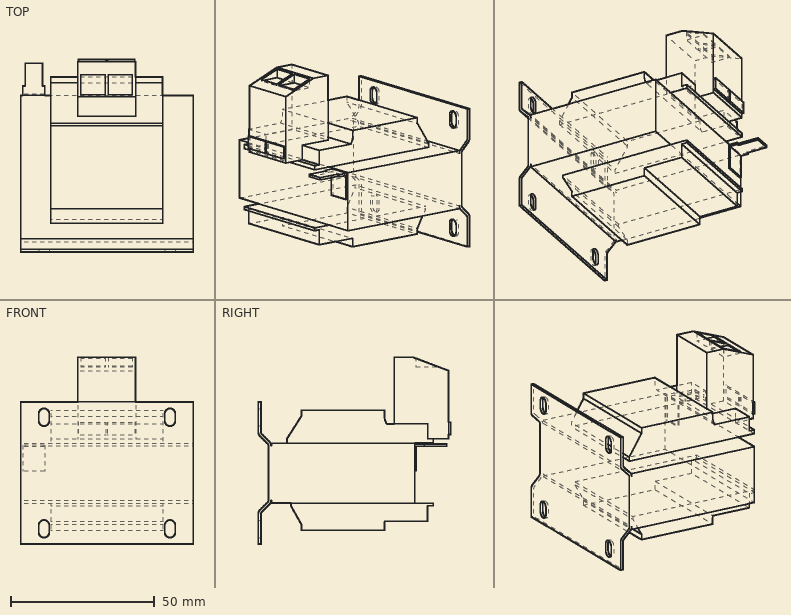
import cadquery as cq
import math


core_width = 60.1
core_depth = 49.95
core_height = 20.85
core_top = core_height / 2

plate_thickness = 1.0
plate_half_height = 24.75
web_front = 3.55
inner_bend_radius = 1.0
outer_bend_radius = inner_bend_radius + plate_thickness
web_bend_height = 9.45
bend_angle = math.radians(45)

slot_width = 3.6
slot_height = 6.05
slot_spacing_x = 43.85
slot_spacing_z = 38.8

core_front = web_front + plate_thickness
core_back = core_front + core_depth

coil_center_x = -0.15
coil_width = 39.0
coil_front = 15.0
coil_back = 44.0
ledge_back = 58.95
lip_back = 60.95
coil_rim = 2.0
cove_radius = 5.0

block_width = 20.1
block_front = 47.3
block_back = 66.25
block_bottom = 11.9
block_top = 40.3
slope_start = 54.0
slope_drop = 4.6

pocket_width = 8.45
pocket_spacing = 9.45
pocket_front = 54.8
pocket_back = 61.75
pocket_floor = 36.95

pad_width = 9.6
pad_spacing = 10.05
pad_back = 67.05
pad_bottom = 13.4
pad_top = 17.7

tab_center_x = -25.5
tab_shoulder_width = 7.8
tab_blade_width = 6.1
tab_shoulder_back = 57.85
tab_back = 65.7
tab_top = 10.1
tab_thickness = 0.8
tab_leg_thickness = 0.55
tab_leg_bottom = 0.75


def box(x_center, width, y_range, z_range):
    """Block centred on x_center that spans the given Y and Z ranges."""
    y_min, y_max = y_range
    z_min, z_max = z_range
    blank = cq.Workplane("XY").box(width, y_max - y_min, z_max - z_min, centered=(True, False, False))
    return blank.translate((x_center, y_min, z_min))


def extrude_across(profile, x_center, width):
    """Extrude a closed YZ profile symmetrically about x_center."""
    return profile.extrude(width / 2, both=True).translate((x_center, 0, 0))


def arc_point(center, radius, side, angle):
    """Point on a bend arc; angle is measured from the Y axis, side is +1 or -1 along both axes."""
    y, z = center
    return (y + side * radius * math.cos(angle), z + side * radius * math.sin(angle))


def mounting_plate():
    web_center = (web_front - inner_bend_radius, web_bend_height)
    center_offset_y = outer_bend_radius - web_center[0]
    bend_radii = outer_bend_radius + inner_bend_radius
    center_offset_z = (bend_radii - center_offset_y * math.cos(bend_angle)) / math.sin(bend_angle)
    flange_center = (outer_bend_radius, web_bend_height + center_offset_z)
    half_angle = bend_angle / 2

    def web_arc(radius, angle):
        return arc_point(web_center, radius, 1, angle)

    def flange_arc(radius, angle):
        return arc_point(flange_center, radius, -1, angle)

    upper_half = (
        cq.Workplane("YZ")
        .moveTo(web_front, 0)
        .lineTo(*web_arc(inner_bend_radius, 0))
        .threePointArc(web_arc(inner_bend_radius, half_angle), web_arc(inner_bend_radius, bend_angle))
        .lineTo(*flange_arc(outer_bend_radius, bend_angle))
        .threePointArc(flange_arc(outer_bend_radius, half_angle), flange_arc(outer_bend_radius, 0))
        .lineTo(0, plate_half_height)
        .lineTo(plate_thickness, plate_half_height)
        .lineTo(*flange_arc(inner_bend_radius, 0))
        .threePointArc(flange_arc(inner_bend_radius, half_angle), flange_arc(inner_bend_radius, bend_angle))
        .lineTo(*web_arc(outer_bend_radius, bend_angle))
        .threePointArc(web_arc(outer_bend_radius, half_angle), web_arc(outer_bend_radius, 0))
        .lineTo(core_front, 0)
        .close()
    )
    upper = extrude_across(upper_half, 0, core_width)
    plate = upper.union(upper.mirror("XY"))
    slots = (
        cq.Workplane("XZ")
        .rarray(slot_spacing_x, slot_spacing_z, 2, 2)
        .slot2D(slot_height, slot_width, 90)
        .extrude(-plate_thickness)
    )
    return plate.cut(slots)


def coil_former(front_foot, foot_top, ledge_top, lip_top, crest):
    """Coil former that stands on top of the core, with a coved step down to the ledge at its back."""
    shoulder = crest - coil_rim
    cove_center_y = coil_back + cove_radius

    def cove_point(height):
        return (cove_center_y - math.sqrt(cove_radius**2 - (shoulder - height) ** 2), height)

    profile = (
        cq.Workplane("YZ")
        .moveTo(front_foot, core_top)
        .lineTo(front_foot, foot_top)
        .lineTo(coil_front, shoulder)
        .lineTo(coil_front, crest)
        .lineTo(coil_back, crest)
        .lineTo(coil_back, shoulder)
        .threePointArc(cove_point((shoulder + ledge_top) / 2), cove_point(ledge_top))
        .lineTo(ledge_back, ledge_top)
        .lineTo(ledge_back, lip_top)
        .lineTo(lip_back, lip_top)
        .lineTo(lip_back, core_top)
        .close()
    )
    return extrude_across(profile, coil_center_x, coil_width)


def upper_coil_former():
    return coil_former(front_foot=10.0, foot_top=11.95, ledge_top=17.1, lip_top=block_bottom, crest=21.85)


def lower_coil_former():
    return coil_former(front_foot=11.4, foot_top=11.45, ledge_top=16.8, lip_top=11.45, crest=19.9).mirror("XY")


def terminal_block():
    profile = (
        cq.Workplane("YZ")
        .polyline([
            (block_front, block_bottom),
            (block_front, block_top),
            (slope_start, block_top),
            (block_back, block_top - slope_drop),
            (block_back, block_bottom),
        ])
        .close()
    )
    block = extrude_across(profile, coil_center_x, block_width)
    for side in (-1, 1):
        pocket_x = coil_center_x + side * pocket_spacing / 2
        block = block.cut(box(pocket_x, pocket_width, (pocket_front, pocket_back), (pocket_floor, block_top)))
        pad_x = coil_center_x + side * pad_spacing / 2
        block = block.union(box(pad_x, pad_width, (block_back, pad_back), (pad_bottom, pad_top)))
    return block


def earth_tab():
    blade_heights = (tab_top - tab_thickness, tab_top)
    leg_depth = (core_back, core_back + tab_leg_thickness)
    leg = box(tab_center_x, tab_shoulder_width, leg_depth, (tab_leg_bottom, tab_top))
    shoulder = box(tab_center_x, tab_shoulder_width, (core_back, tab_shoulder_back), blade_heights)
    blade = box(tab_center_x, tab_blade_width, (core_back, tab_back), blade_heights)
    return leg.union(shoulder).union(blade)


core = box(0, core_width, (core_front, core_back), (-core_top, core_top))
result = (
    core.union(mounting_plate())
    .union(upper_coil_former())
    .union(lower_coil_former())
    .union(terminal_block())
    .union(earth_tab())
)